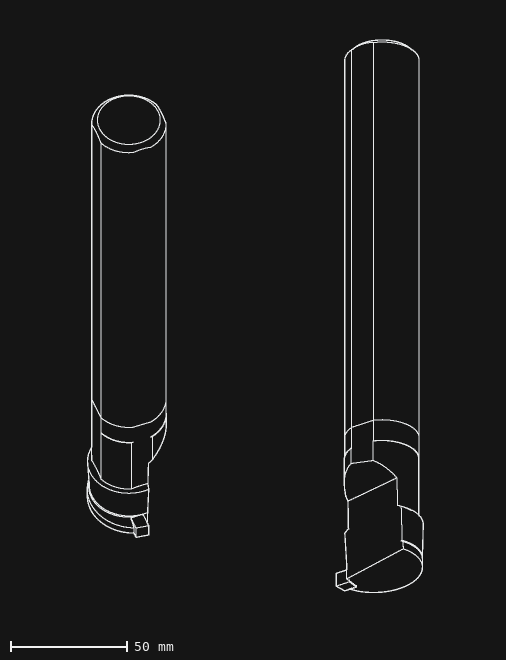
import cadquery as cq

TOTAL_LENGTH = 254.5
HEAD_JOINT_Z = 65.7
NECK_TOP_Z = 55.5
COLLAR_TOP_Z = 25.0
COLLAR_CHAMFER_Z = 23.2
BLADE_TOP_Z = 6.4

SHANK_RADIUS = 16.0
FLAT_DISTANCE = 15.0
RIGHT_FLAT_DISTANCE = 15.5
END_CHAMFER = 2.5

NECK_OFFSET_X = 0.3
COLLAR_RADIUS = 17.8
COLLAR_BOTTOM_RADIUS = 17.3

CLEARANCE_TOP_Z = 44.5
CLEARANCE_RAMP_END_Z = 38.0
CLEARANCE_TOP_Y = 5.9
CLEARANCE_BOTTOM_Y = 5.0
CLEARANCE_ANGLE = -10.5

BLADE_RADIUS = 19.9
BLADE_CENTER = (2.0, 1.3)
BLADE_LEFT_Z = 2.0
BLADE_RIGHT_Z = 0.3
LEDGE_DROP = 0.9
LEDGE_WIDTH = 1.5

INSERT_INNER_X = 16.8
INSERT_TIP_X = 23.7
INSERT_BACK_X = 23.0
INSERT_FACE_Y = 0.0
INSERT_BACK_Y = -5.5

REACH = 51.0


def cylinder(radius, bottom, top, center=(0, 0)):
    return cq.Workplane("XY", origin=(*center, bottom)).circle(radius).extrude(top - bottom)


def add_flats(bar):
    """Trim a bar to its front, back and right flats."""
    envelope = (
        cq.Workplane("XY")
        .box(REACH, 2 * FLAT_DISTANCE, TOTAL_LENGTH, centered=False)
        .translate((RIGHT_FLAT_DISTANCE - REACH, -FLAT_DISTANCE, 0))
    )
    return bar.intersect(envelope)


def make_shank():
    bar = cylinder(SHANK_RADIUS, HEAD_JOINT_Z, TOTAL_LENGTH)
    return add_flats(bar.faces(">Z").chamfer(END_CHAMFER))


def make_collar():
    """Collar that narrows downwards on its front and right, with a chamfered top."""
    shift = COLLAR_RADIUS - COLLAR_BOTTOM_RADIUS
    body = (
        cq.Workplane("XY", origin=(0, 0, BLADE_TOP_Z))
        .center(-shift, shift)
        .circle(COLLAR_BOTTOM_RADIUS)
        .workplane(offset=COLLAR_CHAMFER_Z - BLADE_TOP_Z)
        .center(shift, -shift)
        .circle(COLLAR_RADIUS)
        .loft()
    )
    chamfer = (
        cq.Workplane("XY", origin=(0, 0, COLLAR_CHAMFER_Z))
        .circle(COLLAR_RADIUS)
        .workplane(offset=COLLAR_TOP_Z - COLLAR_CHAMFER_Z)
        .circle(FLAT_DISTANCE)
        .loft()
    )
    return body.union(chamfer)


def make_blade():
    """Eccentric disc with a sloping underside and a conical ledge outside the collar."""
    disc = cylinder(BLADE_RADIUS, 0, BLADE_TOP_Z, BLADE_CENTER)
    left_x = BLADE_CENTER[0] - BLADE_RADIUS
    right_x = BLADE_CENTER[0] + BLADE_RADIUS
    profile = (
        cq.Workplane("XZ")
        .polyline([
            (left_x, BLADE_LEFT_Z),
            (right_x, BLADE_RIGHT_Z),
            (right_x, BLADE_TOP_Z),
            (left_x, BLADE_TOP_Z),
        ])
        .close()
        .extrude(REACH, both=True)
    )
    ledge_slope = LEDGE_DROP / LEDGE_WIDTH
    ledge_end_z = BLADE_TOP_Z - ledge_slope * (REACH - COLLAR_BOTTOM_RADIUS)
    above_ledge = (
        cq.Workplane("XZ")
        .polyline([(COLLAR_BOTTOM_RADIUS, BLADE_TOP_Z), (REACH, ledge_end_z), (REACH, BLADE_TOP_Z)])
        .close()
        .revolve(360, (0, 0), (0, 1))
    )
    return disc.intersect(profile).cut(above_ledge)


def make_clearance():
    """Material removed behind the cutting face, starting with a ramp."""
    ramp_start_y = CLEARANCE_TOP_Y + CLEARANCE_TOP_Z - CLEARANCE_RAMP_END_Z
    ramp_run = REACH - ramp_start_y
    return (
        cq.Workplane("YZ")
        .polyline([
            (CLEARANCE_BOTTOM_Y, 0),
            (CLEARANCE_TOP_Y, CLEARANCE_RAMP_END_Z),
            (REACH, CLEARANCE_TOP_Z + ramp_run),
            (REACH, 0),
        ])
        .close()
        .extrude(REACH, both=True)
        .rotate((0, 0, 0), (0, 0, 1), CLEARANCE_ANGLE)
    )


def make_head():
    joint = cylinder(SHANK_RADIUS, NECK_TOP_Z, HEAD_JOINT_Z)
    neck = cylinder(SHANK_RADIUS, COLLAR_CHAMFER_Z, NECK_TOP_Z, (NECK_OFFSET_X, 0))
    insert_notch = (
        cq.Workplane("XY")
        .box(REACH, REACH, BLADE_TOP_Z, centered=False)
        .translate((INSERT_INNER_X, INSERT_BACK_Y, 0))
    )
    return (
        add_flats(joint.union(neck))
        .union(make_collar())
        .union(make_blade())
        .cut(make_clearance())
        .cut(insert_notch)
    )


def make_insert():
    """Small block whose outer side tapers back from the cutting edge."""
    return (
        cq.Workplane("XY")
        .polyline([
            (INSERT_INNER_X, INSERT_BACK_Y),
            (INSERT_BACK_X, INSERT_BACK_Y),
            (INSERT_TIP_X, INSERT_FACE_Y),
            (INSERT_INNER_X, INSERT_FACE_Y),
        ])
        .close()
        .extrude(BLADE_TOP_Z)
    )


shank = make_shank()
head = make_head()
insert = make_insert()

result = cq.Compound.makeCompound([shank.solids().val(), head.solids().val(), insert.val()])